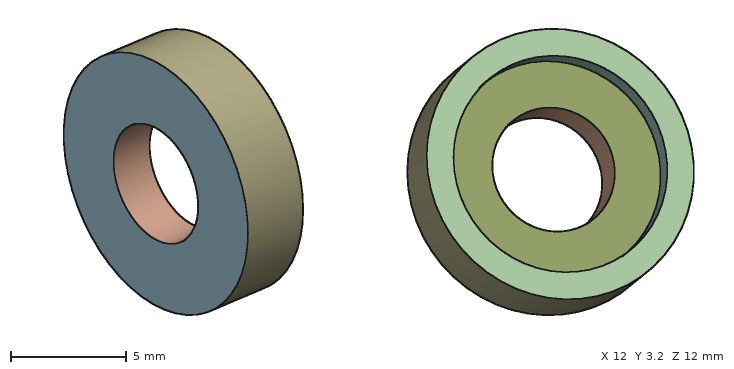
import cadquery as cq

outer_diameter = 12.0
bore_diameter = 5.5
thickness = 3.2
counterbore_diameter = 9.6
floor_thickness = 2.1

front_y = -thickness / 2
counterbore_floor_y = front_y + floor_thickness


def cylinder_along_y(diameter, start_y, length):
    """Solid cylinder on the Y axis, growing from start_y towards +Y."""
    return cq.Workplane("XZ").workplane(offset=-start_y).circle(diameter / 2).extrude(-length)


ring = cylinder_along_y(outer_diameter, front_y, thickness)
bore = cylinder_along_y(bore_diameter, front_y, thickness)
counterbore = cylinder_along_y(counterbore_diameter, counterbore_floor_y, thickness - floor_thickness)

result = ring.cut(bore).cut(counterbore)